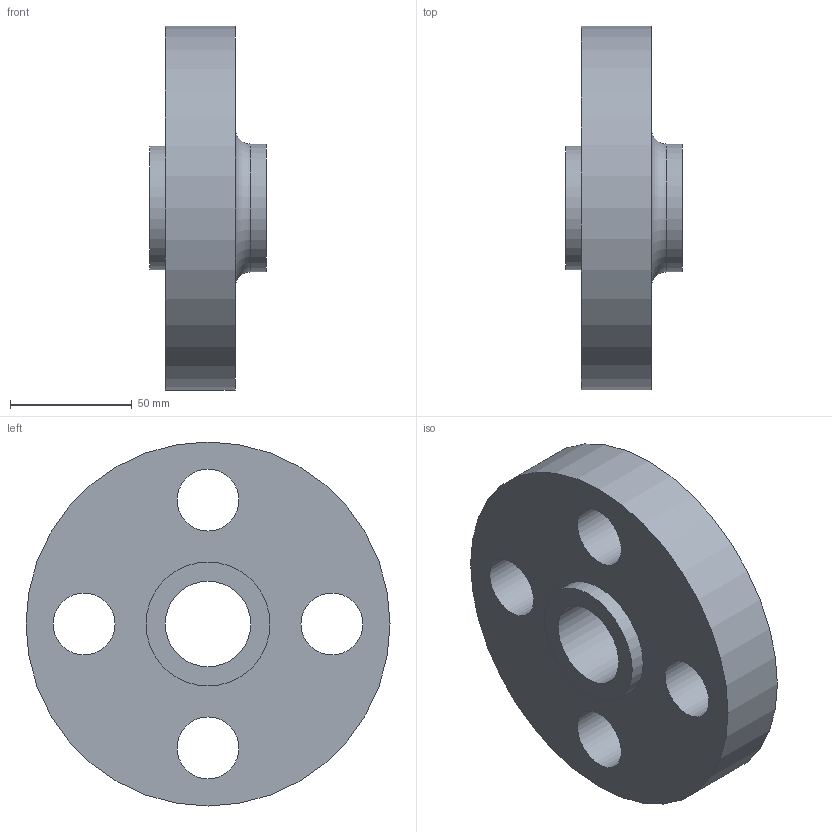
import cadquery as cq

flange_diameter = 149.225
flange_thickness = 28.575
face_diameter = 50.8
face_height = 6.35
hub_diameter = 52.3875
hub_length = 12.7
hub_fillet_radius = 6.35
bore_diameter = 35.05
bolt_hole_diameter = 25.4
bolt_circle_diameter = 101.6
bolt_hole_count = 4

total_length = face_height + flange_thickness + hub_length
flange_back = face_height + flange_thickness


def disc(start_x, diameter, length):
    """Solid cylinder along +X, starting at start_x."""
    plane = cq.Workplane("YZ", origin=(start_x, 0, 0))
    return plane.circle(diameter / 2).extrude(length)


def flange_body():
    """Raised face, flange plate and hub with a fillet where the hub meets the plate."""
    plate_and_hub = disc(face_height, flange_diameter, flange_thickness).union(
        disc(flange_back, hub_diameter, hub_length)
    )
    hub_root = cq.selectors.RadiusNthSelector(0)
    filleted = plate_and_hub.faces(">X[-2]").edges(hub_root).fillet(hub_fillet_radius)
    return filleted.union(disc(0, face_diameter, face_height))


def bolt_holes():
    """Through-hole cutters spaced evenly on the bolt circle, the first on the Y axis."""
    return (
        cq.Workplane("YZ")
        .polarArray(bolt_circle_diameter / 2, 0, 360, bolt_hole_count)
        .circle(bolt_hole_diameter / 2)
        .extrude(total_length)
    )


bore = disc(0, bore_diameter, total_length)
result = flange_body().cut(bore).cut(bolt_holes())